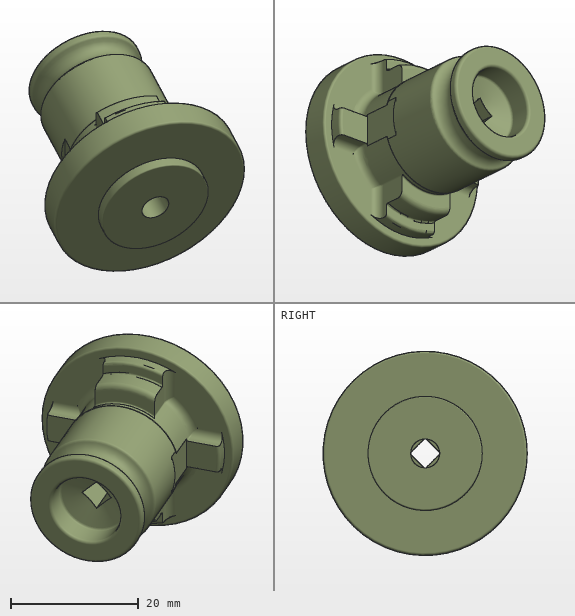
import cadquery as cq
import math


flats_start = 14.8
body_end = 17.02
stepped_lug_front = 18.0
plain_lug_front = 21.65
flange_front = 23.8
flange_back = 28.5
disc_front = 29.1
part_length = 30.8

lip_dia = 18.65
body_dia = 19.0
neck_dia = 18.65
flange_dia = 32.0
back_neck_dia = 14.2
disc_dia = 17.9
lug_dia = 29.0
lug_step_dia = 25.0

groove_center = 3.6
groove_arc_radius = 2.15
groove_floor_dia = 15.75

flats_width = 17.85
plain_lug_width = 4.67
stepped_lug_width = 9.92

bore_dia = 11.4
bore_depth = 3.95
funnel_angle = 18
funnel_fillet = 0.4
drive_square = 3.4
back_hole_dia = 4.5
square_end = 15.35

rim_fillet = 0.5
body_end_fillet = 0.32
flange_fillet = 0.4
disc_fillet = 0.2
root_fillet = 1.35
lug_tip_fillet = 0.5
step_edge_fillet = 1.0
step_root_fillet = 0.3
lug_neck_fillet = 0.25

overlap = 0.32

tolerance = 0.015


def axial_cylinder(diameter, start, end):
    """Solid cylinder on the X axis between two axial positions."""
    return cq.Workplane("YZ", origin=(start, 0, 0)).circle(diameter / 2).extrude(end - start)


def round_edges_at(solid, x, diameter, fillet):
    """Fillet the full circular edge of the given diameter at position x."""

    def slab(radius):
        low = (x - tolerance, -radius, -radius)
        high = (x + tolerance, radius, radius)
        return cq.selectors.BoxSelector(low, high, boundingbox=True)

    ring = slab(diameter / 2 + tolerance) - slab(diameter / 2 - tolerance)
    return solid.edges(ring).fillet(fillet)


def lip_and_body():
    """Lip, round-bottomed groove and cylindrical body."""
    solid = axial_cylinder(lip_dia, 0, groove_center)
    solid = solid.union(axial_cylinder(body_dia, groove_center, body_end))
    arc_center_radius = groove_floor_dia / 2 + groove_arc_radius
    groove = (
        cq.Workplane("XY")
        .center(groove_center, arc_center_radius)
        .circle(groove_arc_radius)
        .revolve(360, (-groove_center, -arc_center_radius), (0.32 - groove_center, -arc_center_radius))
    )
    solid = solid.cut(groove)
    lip_rise = arc_center_radius - lip_dia / 2
    body_rise = arc_center_radius - body_dia / 2
    lip_edge = groove_center - math.sqrt(groove_arc_radius**2 - lip_rise**2)
    body_edge = groove_center + math.sqrt(groove_arc_radius**2 - body_rise**2)
    solid = round_edges_at(solid, 0, lip_dia, rim_fillet)
    solid = round_edges_at(solid, lip_edge, lip_dia, rim_fillet)
    solid = round_edges_at(solid, body_edge, body_dia, rim_fillet)
    return round_edges_at(solid, body_end, body_dia, body_end_fillet)


def neck():
    """Neck that flares into the flange through a concave root, with a core inside the body."""
    radius = neck_dia / 2
    core_radius = groove_floor_dia / 2 - overlap
    root_start = flange_front - root_fillet
    bend = root_fillet * math.sqrt(0.5)
    return (
        cq.Workplane("XY")
        .moveTo(groove_center, 0)
        .lineTo(groove_center, core_radius)
        .lineTo(body_end - overlap, core_radius)
        .lineTo(body_end - overlap, radius)
        .lineTo(root_start, radius)
        .threePointArc(
            (root_start + bend, radius + root_fillet - bend),
            (flange_front, radius + root_fillet),
        )
        .lineTo(flange_front + overlap, radius + root_fillet)
        .lineTo(flange_front + overlap, 0)
        .close()
        .revolve(360, (0, 0), (1, 0))
    )


def cut_flats(solid):
    """Mill two flats on the +Y and -Y sides, up to the plain lugs."""
    length = plain_lug_front - flats_start
    for side in (1, -1):
        cutter = cq.Workplane("XY").box(length, body_dia, body_dia).translate(
            (flats_start + length / 2, side * (flats_width + body_dia) / 2, 0)
        )
        solid = solid.cut(cutter)
    return solid


def lug_bar(front, width):
    """Bar along Y through the axis, whose sides flare into the flange."""
    half = width / 2
    root_start = flange_front - root_fillet
    bend = root_fillet * math.sqrt(0.5)
    return (
        cq.Workplane("XZ")
        .moveTo(front, -half)
        .lineTo(root_start, -half)
        .threePointArc(
            (root_start + bend, -half - root_fillet + bend),
            (flange_front, -half - root_fillet),
        )
        .lineTo(flange_front + overlap, -half - root_fillet)
        .lineTo(flange_front + overlap, half + root_fillet)
        .lineTo(flange_front, half + root_fillet)
        .threePointArc(
            (root_start + bend, half + root_fillet - bend),
            (root_start, half),
        )
        .lineTo(front, half)
        .close()
        .extrude(lug_dia / 2, both=True)
    )


def lug_envelope():
    """Round-edged disc that bounds the tips of all four lugs."""
    envelope = axial_cylinder(lug_dia, plain_lug_front, flange_front + overlap)
    return envelope.faces("<X").edges().fillet(lug_tip_fillet)


def plain_lugs():
    """Pair of lugs on the +Y and -Y sides with rounded tips."""
    return lug_bar(plain_lug_front, plain_lug_width).intersect(lug_envelope())


def stepped_lugs():
    """Pair of lugs on the +Z and -Z sides with a lower step in front."""
    envelope = lug_envelope()
    step = axial_cylinder(lug_step_dia, stepped_lug_front, plain_lug_front)
    step = step.faces("<X").edges().fillet(step_edge_fillet)
    envelope = envelope.union(step)
    envelope = round_edges_at(envelope, plain_lug_front, lug_step_dia, step_root_fillet)
    bar = lug_bar(stepped_lug_front, stepped_lug_width).rotate((0, 0, 0), (1, 0, 0), 90)
    return bar.intersect(envelope)


def back_end():
    """Flange, short back neck and end disc."""
    flange = axial_cylinder(flange_dia, flange_front, flange_back).edges().fillet(flange_fillet)
    disc = axial_cylinder(disc_dia, disc_front, part_length).faces(">X").edges().fillet(disc_fillet)
    return flange.union(axial_cylinder(back_neck_dia, flange_back, disc_front)).union(disc)


def bore_and_drive_hole():
    """Rounded bore, funnel, diagonal square hole and round hole out the back."""
    bore_radius = bore_dia / 2
    bend = rim_fillet * math.sqrt(0.5)
    cavity = (
        cq.Workplane("XY")
        .lineTo(0, bore_radius + rim_fillet)
        .threePointArc(
            (rim_fillet - bend, bore_radius + rim_fillet - bend),
            (rim_fillet, bore_radius),
        )
        .lineTo(bore_depth, bore_radius)
        .lineTo(bore_depth + bore_radius * math.tan(math.radians(funnel_angle)), 0)
        .close()
        .revolve(360, (0, 0), (1, 0))
    )
    cavity = round_edges_at(cavity, bore_depth, bore_dia, funnel_fillet)
    square = (
        cq.Workplane("YZ", origin=(bore_depth, 0, 0))
        .transformed(rotate=(0, 0, 45))
        .rect(drive_square, drive_square)
        .extrude(square_end - bore_depth)
    )
    return cavity.union(square).union(axial_cylinder(back_hole_dia, square_end, part_length))


def edges_on_neck(solid, is_on_wall):
    """Edges where the neck cylinder meets the lug walls chosen by is_on_wall."""
    found = []
    for edge in solid.edges().vals():
        middle = edge.positionAt(0.5)
        on_neck = abs(math.hypot(middle.y, middle.z) - neck_dia / 2) < tolerance
        if on_neck and middle.x < flange_front and is_on_wall(middle):
            found.append(edge)
    return solid.newObject(found)


def on_plain_lug(point):
    """True on the side walls of the plain lugs."""
    return point.x > plain_lug_front and abs(abs(point.z) - plain_lug_width / 2) < tolerance


def on_stepped_lug(point):
    """True on the side walls and front faces of the stepped lugs."""
    on_side = abs(abs(point.y) - stepped_lug_width / 2) < tolerance
    on_front = abs(point.x - stepped_lug_front) < tolerance
    return on_front or (point.x > stepped_lug_front and on_side)


solid = cut_flats(lip_and_body().union(neck()))
solid = solid.union(plain_lugs()).union(stepped_lugs()).union(back_end())

for is_on_wall in (on_plain_lug, on_stepped_lug):
    solid = edges_on_neck(solid, is_on_wall).fillet(lug_neck_fillet)

result = solid.cut(bore_and_drive_hole())